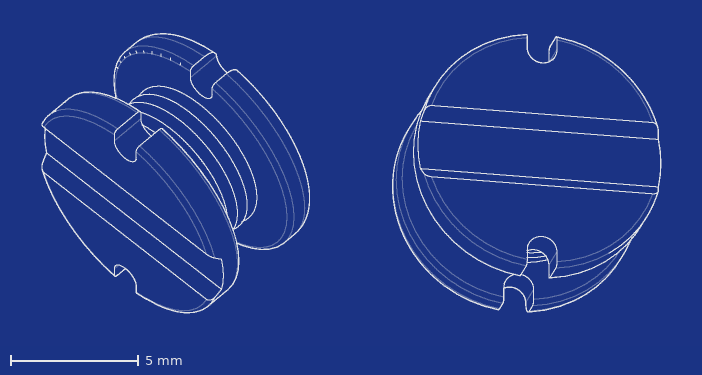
import cadquery as cq
import math

FLANGE_RADIUS = 4.895
FLANGE_THICKNESS = 1.5
CORE_RADIUS = 2.59
CORE_LENGTH = 2.8
EDGE_FILLET = 0.2
REAR_EDGE_FILLET = 0.695

NOTCH_WIDTH = 1.19
NOTCH_DEPTH = 1.24

SLOT_DEPTH = 0.5
SLOT_FLOOR_WIDTH = 2.0
SLOT_WALL_ANGLE = 45.0

RING_COUNT = 5
RING_TUBE_DIAMETER = 0.5
RING_CENTER_RADIUS = 3.0

ring_gap = (CORE_LENGTH - RING_COUNT * RING_TUBE_DIAMETER) / (RING_COUNT + 1)
ring_pitch = RING_TUBE_DIAMETER + ring_gap
total_length = CORE_LENGTH + 2 * FLANGE_THICKNESS
front_y = -total_length / 2
rear_flange_y = CORE_LENGTH / 2


def disc(radius, start_y, length):
    """Cylinder on the Y axis, running from start_y toward +Y."""
    return cq.Workplane("XZ", origin=(0, start_y, 0)).circle(radius).extrude(-length)


def make_flange(start_y, front_fillet, rear_fillet):
    """Flange disc with rounded front and rear rims."""
    flange = disc(FLANGE_RADIUS, start_y, FLANGE_THICKNESS)
    flange = flange.faces("<Y").edges().fillet(front_fillet)
    return flange.faces(">Y").edges().fillet(rear_fillet)


def make_notch_cutter(side):
    """Round-floored notch through both flanges; side is +1 for top, -1 for bottom."""
    half_width = NOTCH_WIDTH / 2
    floor_z = FLANGE_RADIUS - NOTCH_DEPTH
    arc_end_z = floor_z + half_width
    return (
        cq.Workplane("XZ", origin=(0, front_y, 0))
        .moveTo(-half_width, side * FLANGE_RADIUS)
        .lineTo(-half_width, side * arc_end_z)
        .threePointArc((0, side * floor_z), (half_width, side * arc_end_z))
        .lineTo(half_width, side * FLANGE_RADIUS)
        .close()
        .extrude(-total_length)
    )


def make_slot_cutter():
    """Driver slot with sloping walls across the front face, running along X."""
    half_floor = SLOT_FLOOR_WIDTH / 2
    half_mouth = half_floor + SLOT_DEPTH * math.tan(math.radians(SLOT_WALL_ANGLE))
    floor_y = front_y + SLOT_DEPTH
    return (
        cq.Workplane("YZ")
        .polyline([
            (front_y, -half_mouth),
            (floor_y, -half_floor),
            (floor_y, half_floor),
            (front_y, half_mouth),
        ])
        .close()
        .extrude(FLANGE_RADIUS, both=True)
    )


def make_spool():
    """Core with two notched flanges, the front one slotted."""
    front_flange = make_flange(front_y, EDGE_FILLET, EDGE_FILLET)
    rear_flange = make_flange(rear_flange_y, EDGE_FILLET, REAR_EDGE_FILLET)
    core = disc(CORE_RADIUS, -CORE_LENGTH / 2, CORE_LENGTH)
    spool = core.union(front_flange).union(rear_flange).cut(make_slot_cutter())
    for side in (1, -1):
        spool = spool.cut(make_notch_cutter(side))
    return spool


def make_ring(center_y):
    """Round-section ring around the core."""
    return cq.Solid.makeTorus(
        RING_CENTER_RADIUS,
        RING_TUBE_DIAMETER / 2,
        cq.Vector(0, center_y, 0),
        cq.Vector(0, 1, 0),
    )


spool = make_spool()
rings = []
for index in range(RING_COUNT):
    ring_y = (index - (RING_COUNT - 1) / 2) * ring_pitch
    rings.append(make_ring(ring_y))

result = cq.Compound.makeCompound([spool.val(), *rings])